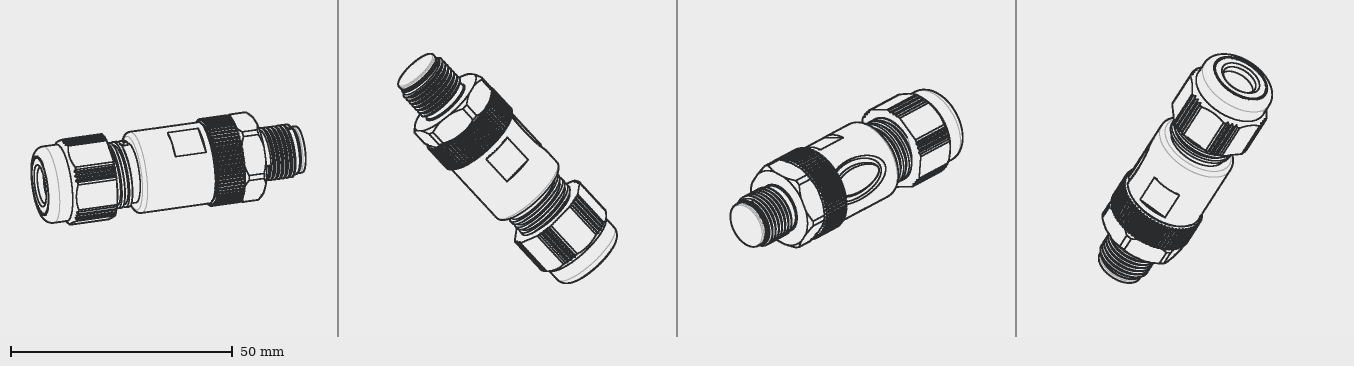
import cadquery as cq
import math

LENGTH = 61.0
TILT = 25.0

CAP_RADIUS = 8.7
CAP_LENGTH = 5.05
CAP_FILLET = 1.95
CABLE_MOUTH_RADIUS = 4.75
CABLE_THROAT_RADIUS = 4.1
CABLE_CHAMFER_LENGTH = 0.55
CABLE_HOLE_DEPTH = 2.0
SEAL_GROOVE_RADIUS = 6.7
SEAL_GROOVE_WIDTH = 0.3
SEAL_GROOVE_DEPTH = 0.3
NUT_RADIUS = 9.9
NUT_APOTHEM = 9.4
NUT_END = 15.3
NUT_ANGLE = 5.0
NUT_GROOVE_PITCH = 6.4
NUT_GROOVE_WIDTH = 0.75
NUT_GROOVE_DEPTH = 0.35

NECK_RADIUS = 6.8
NECK_CREST_RADIUS = 7.5
NECK_PITCH = 1.75
NECK_THREAD_END = 20.45
NECK_THREAD_ANGLE = 98.0
NECK_THREAD_TURNS = 4
NECK_ROOT_WIDTH = 1.0
NECK_CREST_WIDTH = 0.75

BODY_START = 21.55
BODY_END = 38.5
BODY_RADIUS = 9.3
BODY_FILLET = 0.9
FLAT_START = 29.8
FLAT_END = 37.0
FLAT_APOTHEM = 8.6
BADGE_CENTER = 34.05
BADGE_LENGTH = 17.3
BADGE_WIDTH = 9.5
BADGE_BORDER = 1.95
BADGE_DEPTH = 0.5
BADGE_CUT_DEPTH = 2.45
BADGE_RIM_DRAFT = 2.0
BADGE_ISLAND_DRAFT = 0.6

RELIEF_RADIUS = 8.8
KNURL_START = 39.0
KNURL_END = 45.3
KNURL_DIAMETER = 19.8
KNURL_RADIUS = KNURL_DIAMETER / 2
KNURL_TEETH = 64
KNURL_DEPTH = 0.35
KNURL_LAND_SHARE = 0.4
HEX_END = 50.55
HEX_RADIUS = 10.0
HEX_APOTHEM = 8.95
HEX_CHAMFER_RADIUS = 9.1
HEX_CHAMFER_LENGTH = 0.85

PLUG_RADIUS = 5.5
PLUG_CREST_DIAMETER = 12.0
PLUG_CREST_RADIUS = PLUG_CREST_DIAMETER / 2
PLUG_THREAD_END = 58.85
PLUG_THREAD_ANGLE = 90.0
PLUG_THREAD_TURNS = 6.75
PLUG_THREAD_LENGTH = 6.8
PLUG_PITCH = PLUG_THREAD_LENGTH / PLUG_THREAD_TURNS
PLUG_ROOT_WIDTH = 0.8
PLUG_CREST_WIDTH = 0.2
PLUG_FLARE = 0.25
RIM_RADIUS = 5.3
RIM_LENGTH = 1.05
RIM_FILLET = 0.25
RIM_GROOVE_RADIUS = 4.8
RIM_GROOVE_WIDTH = 0.3
PLUG_CHAMFER = 0.25

HEX_STEP = 60.0
HALF_HEX_STEP = HEX_STEP / 2
EMBED = 0.2
CLEARANCE = 0.6


def polar(radius, angle):
    """Point in the XZ plane at a radius and an angle in degrees."""
    return radius * math.cos(math.radians(angle)), radius * math.sin(math.radians(angle))


def revolve(points):
    """Solid of revolution about Y from (radius, y) points."""
    return cq.Workplane("XY").polyline(points).close().revolve(360, (0, 0, 0), (0, 1, 0))


def section(y):
    """Workplane across the axis; extruding by a negative length goes towards +Y."""
    return cq.Workplane("XZ", origin=(0, y, 0))


def cylinder(radius, start, end):
    """Round bar on the axis from Y = start to Y = end."""
    return section(start).circle(radius).extrude(start - end)


def hexagon(apothem, angle, start, end):
    """Hexagonal bar with one flat facing the given angle."""
    corner_radius = apothem / math.cos(math.radians(HALF_HEX_STEP))
    corners = [polar(corner_radius, angle + HALF_HEX_STEP + HEX_STEP * i) for i in range(6)]
    return section(start).polyline(corners).close().extrude(start - end)


def thread(root_radius, crest_radius, root_width, crest_width, pitch, turns, end, end_angle):
    """Right-hand helical ridge whose last point lies at Y = end and at end_angle."""
    height = pitch * turns
    base = root_radius - EMBED
    flank_slope = (root_width - crest_width) / (crest_radius - root_radius)
    base_width = root_width + flank_slope * EMBED
    path = cq.Workplane(obj=cq.Wire.makeHelix(pitch, height, root_radius))
    profile = [
        (base, -base_width / 2),
        (crest_radius, -crest_width / 2),
        (crest_radius, crest_width / 2),
        (base, base_width / 2),
    ]
    ridge = cq.Workplane("XZ").polyline(profile).close().sweep(path, isFrenet=True)
    start_angle = end_angle + 360 * turns
    ridge = ridge.rotate((0, 0, 0), (0, 0, 1), -start_angle)
    return ridge.rotate((0, 0, 0), (1, 0, 0), -90).translate((0, end - height, 0))


def make_gland_nut():
    """Hexagonal nut with rounded, grooved corners and a conical front."""
    cone_length = NUT_RADIUS - CAP_RADIUS
    nut = revolve([
        (0, CAP_LENGTH),
        (CAP_RADIUS, CAP_LENGTH),
        (NUT_RADIUS, CAP_LENGTH + cone_length),
        (NUT_RADIUS, NUT_END),
        (0, NUT_END),
    ])
    nut = nut.intersect(hexagon(NUT_APOTHEM, NUT_ANGLE, CAP_LENGTH, NUT_END))
    groove_half_width = NUT_GROOVE_WIDTH / 2 * (1 + CLEARANCE / NUT_GROOVE_DEPTH)
    groove_points = [
        (NUT_RADIUS - NUT_GROOVE_DEPTH, 0),
        (NUT_RADIUS + CLEARANCE, groove_half_width),
        (NUT_RADIUS + CLEARANCE, -groove_half_width),
    ]
    groove = section(CAP_LENGTH).polyline(groove_points).close().extrude(CAP_LENGTH - NUT_END)
    for corner in range(6):
        for step in (-1, 0, 1):
            angle = NUT_ANGLE + HALF_HEX_STEP + HEX_STEP * corner + step * NUT_GROOVE_PITCH
            nut = nut.cut(groove.rotate((0, 0, 0), (0, 1, 0), -angle))
    return nut


def make_cap():
    """Rounded cap with a chamfered cable entry and a ring groove in its face."""
    cap = cylinder(CAP_RADIUS, 0, CAP_LENGTH).faces("<Y").edges().fillet(CAP_FILLET)
    hole = revolve([
        (0, 0),
        (CABLE_MOUTH_RADIUS, 0),
        (CABLE_THROAT_RADIUS, CABLE_CHAMFER_LENGTH),
        (CABLE_THROAT_RADIUS, CABLE_HOLE_DEPTH),
        (0, CABLE_HOLE_DEPTH),
    ])
    ring = cylinder(SEAL_GROOVE_RADIUS, 0, SEAL_GROOVE_DEPTH)
    ring = ring.cut(cylinder(SEAL_GROOVE_RADIUS - SEAL_GROOVE_WIDTH, 0, SEAL_GROOVE_DEPTH))
    return cap.cut(hole).cut(ring)


def make_neck():
    """Threaded neck that also fills the inside of the gland nut."""
    ridge = thread(
        NECK_RADIUS, NECK_CREST_RADIUS, NECK_ROOT_WIDTH, NECK_CREST_WIDTH,
        NECK_PITCH, NECK_THREAD_TURNS, NECK_THREAD_END, NECK_THREAD_ANGLE,
    )
    return cylinder(NECK_RADIUS, CAP_LENGTH, BODY_START).union(ridge)


def badge_cone(length, width, draft):
    """Elliptical cone, square to the body, that has the given size where it meets the body surface."""
    low = BODY_RADIUS - BADGE_CUT_DEPTH
    high = BODY_RADIUS + CLEARANCE
    side_height = math.sqrt(BODY_RADIUS**2 - (width / 2) ** 2)

    def semi_axes(height):
        return (
            width / 2 + draft * (height - side_height),
            length / 2 + draft * (height - BODY_RADIUS),
        )

    base = cq.Workplane("XY", origin=(0, BADGE_CENTER, low)).ellipse(*semi_axes(low))
    return base.workplane(offset=high - low).ellipse(*semi_axes(high)).loft(ruled=True)


def make_badge_groove():
    """Elliptical moat that leaves a raised island in the side of the body."""
    outer = badge_cone(BADGE_LENGTH, BADGE_WIDTH, BADGE_RIM_DRAFT)
    island_length = BADGE_LENGTH - 2 * BADGE_BORDER
    island_width = BADGE_WIDTH - 2 * BADGE_BORDER
    island = badge_cone(island_length, island_width, -BADGE_ISLAND_DRAFT)
    core = cylinder(BODY_RADIUS - BADGE_DEPTH, BODY_START, KNURL_END)
    groove = outer.cut(island).cut(core)
    return groove.rotate((0, 0, 0), (0, 1, 0), TILT - 90)


def make_body():
    """Round body with two opposite flats and the badge."""
    body = cylinder(BODY_RADIUS, BODY_START, BODY_END).faces("<Y").edges().fillet(BODY_FILLET)
    flat_length = FLAT_END - FLAT_START
    flat = cq.Workplane("XY").box(
        2 * BODY_RADIUS, flat_length, BODY_RADIUS, centered=(True, True, False)
    ).translate((0, (FLAT_START + FLAT_END) / 2, FLAT_APOTHEM))
    for turn in (TILT, TILT + 180):
        body = body.cut(flat.rotate((0, 0, 0), (0, 1, 0), turn))
    return body.cut(make_badge_groove())


def make_knurled_ring():
    pitch = 360 / KNURL_TEETH
    half_land = KNURL_LAND_SHARE * pitch / 2
    points = []
    for tooth in range(KNURL_TEETH):
        middle = 90 + tooth * pitch
        points.append(polar(KNURL_RADIUS, middle - half_land))
        points.append(polar(KNURL_RADIUS, middle + half_land))
        points.append(polar(KNURL_RADIUS - KNURL_DEPTH, middle + pitch / 2))
    return section(KNURL_START).polyline(points).close().extrude(KNURL_START - KNURL_END)


def make_coupling_hex():
    barrel = revolve([
        (0, KNURL_END),
        (HEX_CHAMFER_RADIUS, KNURL_END),
        (HEX_RADIUS, KNURL_END + HEX_CHAMFER_LENGTH),
        (HEX_RADIUS, HEX_END - HEX_CHAMFER_LENGTH),
        (HEX_CHAMFER_RADIUS, HEX_END),
        (0, HEX_END),
    ])
    return barrel.intersect(hexagon(HEX_APOTHEM, 90, KNURL_END, HEX_END))


def make_plug():
    rim_start = LENGTH - RIM_LENGTH
    groove_start = rim_start - RIM_GROOVE_WIDTH
    shank = revolve([
        (0, HEX_END),
        (PLUG_RADIUS + PLUG_FLARE, HEX_END),
        (PLUG_RADIUS, HEX_END + PLUG_FLARE),
        (PLUG_RADIUS, groove_start - PLUG_CHAMFER),
        (PLUG_RADIUS - PLUG_CHAMFER, groove_start),
        (RIM_GROOVE_RADIUS, groove_start),
        (RIM_GROOVE_RADIUS, rim_start),
        (0, rim_start),
    ])
    rim = cylinder(RIM_RADIUS, rim_start, LENGTH).edges().fillet(RIM_FILLET)
    ridge = thread(
        PLUG_RADIUS, PLUG_CREST_RADIUS, PLUG_ROOT_WIDTH, PLUG_CREST_WIDTH,
        PLUG_PITCH, PLUG_THREAD_TURNS, PLUG_THREAD_END, PLUG_THREAD_ANGLE,
    )
    return shank.union(rim).union(ridge)


result = (
    make_cap()
    .union(make_gland_nut())
    .union(make_neck())
    .union(make_body())
    .union(cylinder(RELIEF_RADIUS, BODY_END, KNURL_START))
    .union(make_knurled_ring())
    .union(make_coupling_hex())
    .union(make_plug())
)